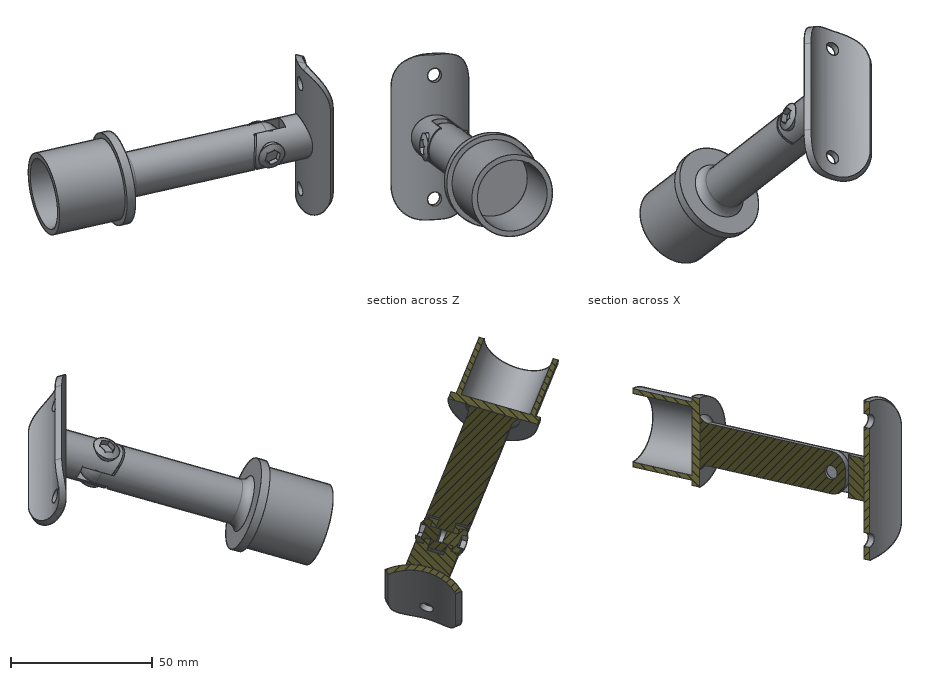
import cadquery as cq
import math

TOTAL_LENGTH = 105.5
SADDLE_TOP_Y = 21.6
CUP_END_Y = SADDLE_TOP_Y - TOTAL_LENGTH

SADDLE_OUTER_RADIUS = 20.4
SADDLE_THICKNESS = 2.5
SADDLE_INNER_RADIUS = SADDLE_OUTER_RADIUS - SADDLE_THICKNESS
SADDLE_HALF_ANGLE = 45.0
SADDLE_HEIGHT = 60.0
SADDLE_CORNER_RADIUS = 12.0
SADDLE_HOLE_DIAMETER = 5.1
SADDLE_HOLE_SPACING = 45.0
SADDLE_CENTRE_Y = SADDLE_TOP_Y + SADDLE_INNER_RADIUS * math.cos(math.radians(SADDLE_HALF_ANGLE))

POST_RADIUS = 8.1
SLOT_WIDTH = 6.0
SLOT_FLOOR_Y = 7.3
PRONG_END_RADIUS = 13.5
SHOULDER_CLEARANCE = 0.6
SHOULDER_RADIUS = PRONG_END_RADIUS + SHOULDER_CLEARANCE
TONGUE_TIP_Y = 6.2

CUP_RADIUS = 14.9
CUP_WALL = 2.0
CUP_DEPTH = 25.0
FLANGE_DIAMETER = 33.7
FLANGE_THICKNESS = 3.3
FLANGE_FRONT_Y = CUP_END_Y + CUP_DEPTH
FLANGE_BACK_Y = FLANGE_FRONT_Y + FLANGE_THICKNESS
FLARE_LENGTH = 3.7
FLARE_RADIUS = 10.2

HEAD_RADIUS = 5.0
HEAD_SEAT_X = 5.3
HEAD_RIM_X = 7.8
DOME_TOP_X = 9.3
SHANK_RADIUS = 2.5
SHANK_END_X = 1.1
SOCKET_DIAMETER = 6.0
SOCKET_FLOOR_X = 6.8
SOCKET_TURN = 15.0


def cylinder_y(radius, start_y, end_y):
    """Round bar on the Y axis."""
    return cq.Workplane("XZ", origin=(0, end_y, 0)).circle(radius).extrude(end_y - start_y)


def cylinder_x(radius, length, centre_y=0.0):
    """Round bar parallel to X, centred on X = 0."""
    return cq.Workplane("YZ").center(centre_y, 0).circle(radius).extrude(length / 2, both=True)


def box_between(width, start_y, end_y, height):
    """Box centred on X and Z that spans the given Y range."""
    return cq.Workplane("XY").box(width, end_y - start_y, height).translate((0, (start_y + end_y) / 2, 0))


def make_saddle():
    """Arc-section plate with rounded corners and two fixing holes."""
    sine = math.sin(math.radians(SADDLE_HALF_ANGLE))
    cosine = math.cos(math.radians(SADDLE_HALF_ANGLE))
    inner, outer = SADDLE_INNER_RADIUS, SADDLE_OUTER_RADIUS
    plate = (
        cq.Workplane("XY")
        .center(0, SADDLE_CENTRE_Y)
        .moveTo(-outer * sine, -outer * cosine)
        .threePointArc((0, -outer), (outer * sine, -outer * cosine))
        .lineTo(inner * sine, -inner * cosine)
        .threePointArc((0, -inner), (-inner * sine, -inner * cosine))
        .close()
        .extrude(SADDLE_HEIGHT / 2, both=True)
    )
    for side in (-1, 1):
        rounding_block = (
            cq.Workplane("XY")
            .box(2 * outer, 2 * outer, SADDLE_HEIGHT)
            .edges("|Y")
            .fillet(SADDLE_CORNER_RADIUS)
            .translate((-side * outer, -outer, 0))
            .rotate((0, 0, 0), (0, 0, 1), side * SADDLE_HALF_ANGLE)
            .translate((0, SADDLE_CENTRE_Y, 0))
        )
        plate = plate.intersect(rounding_block)
    holes = (
        cq.Workplane("XZ", origin=(0, SADDLE_CENTRE_Y, 0))
        .pushPoints([(0, -SADDLE_HOLE_SPACING / 2), (0, SADDLE_HOLE_SPACING / 2)])
        .circle(SADDLE_HOLE_DIAMETER / 2)
        .extrude(SADDLE_CENTRE_Y)
    )
    return plate.cut(holes)


def make_screw(side):
    """Domed screw on the +X or -X side, with a hexagon socket in its head."""
    dome_height = DOME_TOP_X - HEAD_RIM_X
    dome_radius = (HEAD_RADIUS**2 + dome_height**2) / (2 * dome_height)
    half_sweep = math.asin(HEAD_RADIUS / dome_radius) / 2
    dome_middle = (
        DOME_TOP_X - dome_radius * (1 - math.cos(half_sweep)),
        dome_radius * math.sin(half_sweep),
    )
    screw = (
        cq.Workplane("XY")
        .moveTo(SHANK_END_X, 0)
        .lineTo(SHANK_END_X, SHANK_RADIUS)
        .lineTo(HEAD_SEAT_X, SHANK_RADIUS)
        .lineTo(HEAD_SEAT_X, HEAD_RADIUS)
        .lineTo(HEAD_RIM_X, HEAD_RADIUS)
        .threePointArc(dome_middle, (DOME_TOP_X, 0))
        .close()
        .revolve(360, (0, 0, 0), (1, 0, 0))
    )
    socket = (
        cq.Workplane("YZ", origin=(SOCKET_FLOOR_X, 0, 0))
        .polygon(6, SOCKET_DIAMETER)
        .extrude(DOME_TOP_X - SOCKET_FLOOR_X)
        .rotate((0, 0, 0), (1, 0, 0), SOCKET_TURN)
    )
    screw = screw.cut(socket)
    if side < 0:
        screw = screw.rotate((0, 0, 0), (0, 0, 1), 180)
    return screw


def make_fork():
    """Stem seated on the saddle, split into two round-ended prongs."""
    prong_end_y = SLOT_FLOOR_Y - PRONG_END_RADIUS
    stem = cylinder_y(POST_RADIUS, SLOT_FLOOR_Y, SADDLE_CENTRE_Y)
    saddle_back = cq.Workplane("XY").center(0, SADDLE_CENTRE_Y).circle(SADDLE_OUTER_RADIUS)
    stem = stem.cut(saddle_back.extrude(SADDLE_HEIGHT / 2, both=True))
    prongs = cylinder_y(POST_RADIUS, prong_end_y, SLOT_FLOOR_Y)
    prongs = prongs.intersect(cylinder_x(PRONG_END_RADIUS, 2 * POST_RADIUS, SLOT_FLOOR_Y))
    prongs = prongs.cut(box_between(SLOT_WIDTH, prong_end_y, SLOT_FLOOR_Y, 2 * POST_RADIUS))
    fork = stem.union(prongs)
    fork = fork.cut(cylinder_x(SHANK_RADIUS, 2 * POST_RADIUS))
    head_seats = cylinder_x(HEAD_RADIUS, 2 * POST_RADIUS).cut(cylinder_x(HEAD_RADIUS, 2 * HEAD_SEAT_X))
    return fork.cut(head_seats)


def make_post():
    """Round post with a tongue at the joint and a flared foot at the flange."""
    flare_top_y = FLANGE_BACK_Y + FLARE_LENGTH
    flare_step = FLARE_RADIUS - POST_RADIUS
    arc_radius = (FLARE_LENGTH**2 + flare_step**2) / (2 * flare_step)
    half_sweep = math.asin(FLARE_LENGTH / arc_radius) / 2
    flare_middle = (
        POST_RADIUS + arc_radius * (1 - math.cos(half_sweep)),
        flare_top_y - arc_radius * math.sin(half_sweep),
    )
    rounding_middle = (
        POST_RADIUS - TONGUE_TIP_Y * (1 - math.sqrt(0.5)),
        TONGUE_TIP_Y * math.sqrt(0.5),
    )
    post = (
        cq.Workplane("XY")
        .moveTo(0, FLANGE_BACK_Y)
        .lineTo(FLARE_RADIUS, FLANGE_BACK_Y)
        .threePointArc(flare_middle, (POST_RADIUS, flare_top_y))
        .lineTo(POST_RADIUS, 0)
        .threePointArc(rounding_middle, (POST_RADIUS - TONGUE_TIP_Y, TONGUE_TIP_Y))
        .lineTo(0, TONGUE_TIP_Y)
        .close()
        .revolve(360, (0, 0, 0), (0, 1, 0))
    )
    prong_room = cylinder_x(SHOULDER_RADIUS, 2 * POST_RADIUS, SLOT_FLOOR_Y)
    tongue_slab = box_between(SLOT_WIDTH, -POST_RADIUS, TONGUE_TIP_Y, 2 * POST_RADIUS)
    post = post.cut(prong_room.cut(tongue_slab))
    return post.cut(cylinder_x(SHANK_RADIUS, SLOT_WIDTH))


def make_cup():
    """Open cup closed by a wider flange against the post."""
    flange = cylinder_y(FLANGE_DIAMETER / 2, FLANGE_FRONT_Y, FLANGE_BACK_Y)
    tube = cylinder_y(CUP_RADIUS, CUP_END_Y, FLANGE_FRONT_Y)
    bore = cylinder_y(CUP_RADIUS - CUP_WALL, CUP_END_Y, FLANGE_FRONT_Y)
    return flange.union(tube.cut(bore))


saddle = make_saddle()
fork = make_fork()
post = make_post()
cup = make_cup()
screws = [make_screw(side) for side in (-1, 1)]

result = cq.Compound.makeCompound(
    [saddle.val(), fork.val(), post.val(), cup.val(), *[screw.val() for screw in screws]]
)